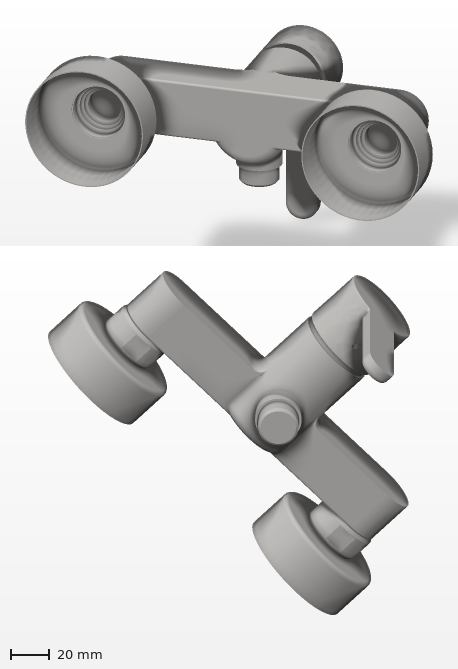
import cadquery as cq
import math


UNION_SPACING = 150.0
UNION_X = (-UNION_SPACING / 2, UNION_SPACING / 2)

CUP_RADIUS = 31.99
CUP_WALL = 0.6
CUP_SIDE_LENGTH = 22.2
CUP_ROUND = 2.2
CUP_HEIGHT = 24.9
CUP_HOLE_RADIUS = 14.7

NUT_RADIUS = 16.25
NUT_START = CUP_HEIGHT
NUT_CHAMFER_RADIAL = 1.0
NUT_CHAMFER_AXIAL = 1.8
NUT_FLAT_OFFSET = 15.3
NUT_FLAT_LENGTH = 10.5
NUT_BORE_STEPS = ((14.1, 5.0), (12.2, 7.0), (10.6, 9.0))
NUT_BORE_RADIUS = 8.9

BAR_HEIGHT = 30.6
BAR_BACK = 40.2
BAR_FRONT = 66.8
BAR_EDGE_ROUND = 1.2

BARREL_RADIUS = 21.0
BARREL_Z = BAR_HEIGHT / 2 - BARREL_RADIUS
BARREL_FRONT = 103.4
BARREL_BACK_ROUND = 5.4
BARREL_FLARE = 5.4
FLARE_FADE_X = 11.6
CREASE_ROUND = 2.0

OUTLET_Y = 61.4
BOSS_RADIUS = 12.0
BOSS_BOTTOM = -32.6
BOSS_ROUND = 2.0
NIPPLE_RADIUS = 10.45
NIPPLE_BOTTOM = -42.5
NIPPLE_CHAMFER = 1.3

NECK_RADIUS = 19.6
NECK_DOME_RADIUS = 14.0
NECK_LENGTH = 12.0
NECK_FRONT = BARREL_FRONT + NECK_LENGTH

HANDLE_FRONT = 136.5
CAP_RADIUS = 21.0
CAP_RIM_RADIUS = 21.4
CAP_RIM_DROP = 0.55
SCREW_HOLE_RADIUS = 1.6
SCREW_HOLE_Y = 117.0
SCREW_HOLE_TOP_DEPTH = 15.0
CAP_RIM = 106.7
CAP_BORE_RADIUS = 19.9
CAP_EDGE_ROUND = 0.7
RIM_SLANT_START_Z = -4.6
RIM_SLANT_TOP_Y = 112.1
LEVER_WIDTH = 17.4
LEVER_THICKNESS = 7.6
LEVER_BOTTOM = -90.58
LEVER_EDGE_ROUND = 3.3
LEVER_ROOT_ROUND = 2.3


def cylinder_y(radius, start, end, x=0.0, z=0.0):
    """Cylinder along Y from start to end."""
    plane = cq.Plane(origin=(x, start, z), xDir=(1, 0, 0), normal=(0, 1, 0))
    return cq.Workplane(plane).circle(radius).extrude(end - start)


def revolve_y(profile, x=0.0, z=0.0):
    """Turn an XY profile about the Y axis, then move its axis to (x, z)."""
    return profile.close().revolve(360, (0, 0, 0), (0, 1, 0)).translate((x, 0, z))


def make_escutcheon(x):
    round_mid = CUP_ROUND * (1 - math.sqrt(0.5))
    top = CUP_SIDE_LENGTH + CUP_ROUND
    inner_radius = CUP_RADIUS - CUP_WALL
    inner_round = CUP_ROUND - CUP_WALL
    inner_mid = inner_round * (1 - math.sqrt(0.5))
    profile = (
        cq.Workplane("XY")
        .moveTo(inner_radius, 0)
        .lineTo(CUP_RADIUS, 0)
        .lineTo(CUP_RADIUS, CUP_SIDE_LENGTH)
        .threePointArc((CUP_RADIUS - round_mid, top - round_mid), (CUP_RADIUS - CUP_ROUND, top))
        .lineTo(CUP_HOLE_RADIUS, CUP_HEIGHT)
        .lineTo(CUP_HOLE_RADIUS, CUP_HEIGHT - CUP_WALL)
        .lineTo(CUP_RADIUS - CUP_ROUND, top - CUP_WALL)
        .threePointArc(
            (inner_radius - inner_mid, top - CUP_WALL - inner_mid), (inner_radius, CUP_SIDE_LENGTH)
        )
    )
    return revolve_y(profile, x)


def make_nut(x):
    end_radius = NUT_RADIUS - NUT_CHAMFER_RADIAL
    profile = (
        cq.Workplane("XY")
        .moveTo(0, NUT_START)
        .lineTo(end_radius, NUT_START)
        .lineTo(NUT_RADIUS, NUT_START + NUT_CHAMFER_AXIAL)
        .lineTo(NUT_RADIUS, BAR_BACK - NUT_CHAMFER_AXIAL)
        .lineTo(end_radius, BAR_BACK)
        .lineTo(0, BAR_BACK)
    )
    nut = revolve_y(profile, x)
    middle_y = (NUT_START + BAR_BACK) / 2
    for side in (1, -1):
        flat_cut = cq.Workplane("XY").box(2 * NUT_RADIUS, NUT_FLAT_LENGTH, NUT_RADIUS)
        nut = nut.cut(flat_cut.translate((x, middle_y, side * (NUT_FLAT_OFFSET + NUT_RADIUS / 2))))
    nut = nut.cut(cylinder_y(NUT_BORE_RADIUS, NUT_START, BAR_BACK, x))
    for radius, depth in NUT_BORE_STEPS:
        nut = nut.cut(cylinder_y(radius, NUT_START, NUT_START + depth, x))
    return nut


def make_flare():
    """Concave round from the barrel onto the bar's front face, fading out at the top of the bar."""
    outer_radius = BARREL_RADIUS + BARREL_FLARE
    flare_top = BAR_FRONT + BARREL_FLARE
    arc_offset = BARREL_FLARE * (1 - math.sqrt(0.5))
    core_radius = BARREL_RADIUS / 2
    profile = (
        cq.Workplane("XY")
        .moveTo(core_radius, BAR_FRONT)
        .lineTo(outer_radius, BAR_FRONT)
        .threePointArc(
            (BARREL_RADIUS + arc_offset, BAR_FRONT + arc_offset), (BARREL_RADIUS, flare_top)
        )
        .lineTo(core_radius, flare_top)
    )
    flare = revolve_y(profile, z=BARREL_Z)
    bar_band = cq.Workplane("XY").box(4 * outer_radius, 4 * flare_top, BAR_HEIGHT)
    fade_cut = (
        cq.Workplane("XY")
        .moveTo(0, BAR_FRONT)
        .lineTo(FLARE_FADE_X, flare_top)
        .lineTo(-FLARE_FADE_X, flare_top)
        .close()
        .extrude(BAR_HEIGHT)
    )
    return flare.intersect(bar_band).cut(fade_cut)


def make_housing():
    bar_plane = cq.Plane(origin=(0, BAR_BACK, 0), xDir=(1, 0, 0), normal=(0, 1, 0))
    bar = (
        cq.Workplane(bar_plane)
        .slot2D(UNION_SPACING + BAR_HEIGHT, BAR_HEIGHT)
        .extrude(BAR_FRONT - BAR_BACK)
        .faces("<Y")
        .edges()
        .fillet(BAR_EDGE_ROUND)
    )
    barrel = cylinder_y(BARREL_RADIUS, BAR_BACK, BARREL_FRONT, z=BARREL_Z)
    barrel = barrel.faces("<Y").edges().fillet(BARREL_BACK_ROUND)
    body = bar.union(barrel)
    crease_x = math.sqrt(BARREL_RADIUS**2 - (BAR_HEIGHT / 2 + BARREL_Z) ** 2)
    for side in (-1, 1):
        crease = cq.selectors.NearestToPointSelector(
            (side * crease_x, (BAR_BACK + BAR_FRONT) / 2, -BAR_HEIGHT / 2)
        )
        body = body.edges(crease).fillet(CREASE_ROUND)
    boss = cq.Workplane("XY", origin=(0, OUTLET_Y, BOSS_BOTTOM)).circle(BOSS_RADIUS)
    body = body.union(boss.extrude(BARREL_Z - BOSS_BOTTOM))
    boss_joint = cq.selectors.BoxSelector(
        (-BOSS_RADIUS - 1, OUTLET_Y - BOSS_RADIUS - 1, BARREL_Z - BARREL_RADIUS - 1),
        (BOSS_RADIUS + 1, OUTLET_Y + BOSS_RADIUS + 1, BARREL_Z - BARREL_RADIUS / 2),
        boundingbox=True,
    )
    body = body.edges(boss_joint).fillet(BOSS_ROUND)
    return body.union(make_flare())


def make_nipple():
    blank = cq.Workplane("XY", origin=(0, OUTLET_Y, NIPPLE_BOTTOM)).circle(NIPPLE_RADIUS)
    return blank.extrude(BOSS_BOTTOM - NIPPLE_BOTTOM).faces("<Z").edges().chamfer(NIPPLE_CHAMFER)


def dome_inset(length):
    """How far the dome has closed in at this distance from the barrel."""
    return NECK_DOME_RADIUS - math.sqrt(NECK_DOME_RADIUS**2 - length**2)


def make_neck():
    middle = NECK_LENGTH / 2
    profile = (
        cq.Workplane("XY")
        .moveTo(0, BARREL_FRONT)
        .lineTo(NECK_RADIUS, BARREL_FRONT)
        .threePointArc(
            (NECK_RADIUS - dome_inset(middle), BARREL_FRONT + middle),
            (NECK_RADIUS - dome_inset(NECK_LENGTH), NECK_FRONT),
        )
        .lineTo(0, NECK_FRONT)
    )
    return revolve_y(profile, z=BARREL_Z)


def make_handle():
    rim_plane = cq.Plane(
        origin=(0, CAP_RIM, BARREL_Z - CAP_RIM_DROP), xDir=(1, 0, 0), normal=(0, 1, 0)
    )
    cap = (
        cq.Workplane(rim_plane)
        .circle(CAP_RIM_RADIUS)
        .workplane(offset=HANDLE_FRONT - CAP_RIM)
        .center(0, -CAP_RIM_DROP)
        .circle(CAP_RADIUS)
        .loft(ruled=True)
        .faces(">Y")
        .edges()
        .fillet(CAP_EDGE_ROUND)
    )

    lever_radius = LEVER_WIDTH / 2
    tip_z = LEVER_BOTTOM + lever_radius
    lever_plane = cq.Plane(
        origin=(0, HANDLE_FRONT - LEVER_THICKNESS, 0), xDir=(1, 0, 0), normal=(0, 1, 0)
    )
    lever = (
        cq.Workplane(lever_plane)
        .moveTo(-lever_radius, -BARREL_Z)
        .lineTo(-lever_radius, -tip_z)
        .threePointArc((0, -LEVER_BOTTOM), (lever_radius, -tip_z))
        .lineTo(lever_radius, -BARREL_Z)
        .close()
        .extrude(LEVER_THICKNESS)
    )
    lever = lever.faces("<Y").edges("not >Z").fillet(LEVER_EDGE_ROUND)
    handle = cap.union(lever)
    lever_root = cq.selectors.BoxSelector(
        (-LEVER_WIDTH, CAP_RIM, BARREL_Z - BARREL_RADIUS - 1),
        (LEVER_WIDTH, HANDLE_FRONT - CAP_EDGE_ROUND / 2, BARREL_Z - BARREL_RADIUS / 2),
        boundingbox=True,
    )
    handle = handle.edges(lever_root).fillet(LEVER_ROOT_ROUND)

    top_z = BARREL_Z + CAP_RADIUS
    slant = (RIM_SLANT_TOP_Y - CAP_RIM) / (top_z - RIM_SLANT_START_Z)
    cut_top_z = top_z + CAP_RADIUS
    rim_cut = (
        cq.Workplane("YZ")
        .moveTo(CAP_RIM, RIM_SLANT_START_Z)
        .lineTo(CAP_RIM + slant * (cut_top_z - RIM_SLANT_START_Z), cut_top_z)
        .lineTo(CAP_RIM, cut_top_z)
        .close()
        .extrude(2 * CAP_RADIUS, both=True)
    )
    bore = cylinder_y(CAP_BORE_RADIUS, CAP_RIM, NECK_FRONT, z=BARREL_Z)
    screw_hole = (
        cq.Workplane("XY", origin=(0, SCREW_HOLE_Y, BARREL_Z - 2 * CAP_RADIUS))
        .circle(SCREW_HOLE_RADIUS)
        .extrude(2 * CAP_RADIUS - SCREW_HOLE_TOP_DEPTH)
    )
    return handle.cut(rim_cut).cut(bore).cut(screw_hole)


escutcheons = [make_escutcheon(x) for x in UNION_X]
nuts = [make_nut(x) for x in UNION_X]
housing = make_housing()
nipple = make_nipple()
neck = make_neck()
handle = make_handle()

bodies = [*escutcheons, *nuts, housing, nipple, neck, handle]
result = cq.Compound.makeCompound([body.solids().val() for body in bodies])